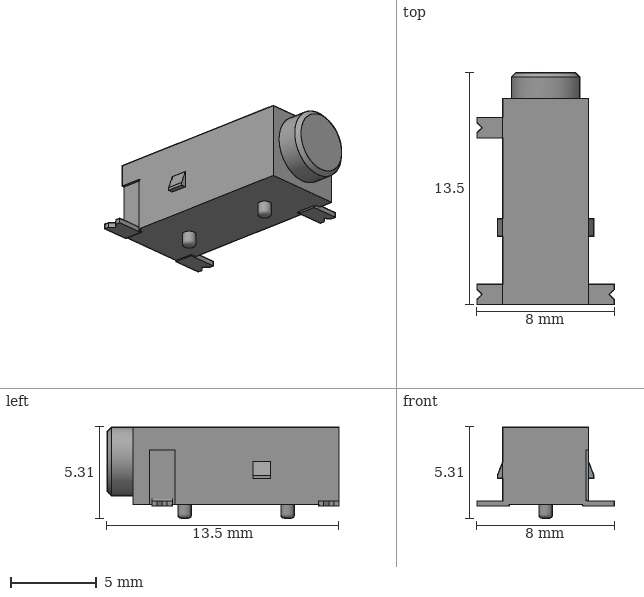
import cadquery as cq

total_length = 13.5
body_width = 5.0
body_length = 12.0
body_height = 4.51
half_width = body_width / 2

sleeve_diameter = 4.0
sleeve_length = total_length - body_length
sleeve_chamfer = 0.25
sleeve_axis_z = body_height - sleeve_diameter / 2

pin_diameter = 0.8
pin_length = 0.8
pin_round = 0.2
pin_positions_y = (3.0, 8.99)

lead_span = 8.0
lead_width = 1.2
lead_thickness = 0.3
lead_drop = 0.08
lead_inner_x = 2.1
lead_notch = 0.3
lead_bend = 0.11
lead_bottom_bevel = 0.08
sleeve_end_lead_y = 10.3
rear_lead_y = lead_width / 2
lead_top_z = lead_thickness - lead_drop

sleeve_end_recess_depth = 0.3
rear_recess_depth = 0.15
recess_width = 1.5
recess_height = 3.19

latch_width = 1.03
latch_reach = 0.31
latch_bottom_z = 1.53
latch_lip = 0.18
latch_height = 0.99
latch_y = 4.5


def side_profile(points, side, center_y, width):
    """Extrude an XZ outline along Y, with side -1 or 1 choosing the -X or +X wall."""
    outline = [(side * x, z) for x, z in points]
    return (
        cq.Workplane("XZ", origin=(0, center_y, 0))
        .polyline(outline)
        .close()
        .extrude(width / 2, both=True)
    )


def make_recess(side, center_y, depth):
    return (
        cq.Workplane("XY")
        .box(2 * depth, recess_width, recess_height, centered=(True, True, False))
        .translate((side * half_width, center_y, 0))
    )


def make_lead(side, center_y, bent):
    """Flat lead with a V notch in its tip; a bent lead has a bevelled inner bend."""
    tip_x = lead_span / 2
    inner_bevel = lead_bottom_bevel if bent else 0
    points = [
        (tip_x, -lead_drop),
        (tip_x, lead_top_z),
        (lead_inner_x, lead_top_z),
        (lead_inner_x, inner_bevel - lead_drop),
    ]
    if bent:
        points.append((lead_inner_x + inner_bevel, -lead_drop))
    lead = side_profile(points, side, center_y, lead_width)
    notch = (
        cq.Workplane("XY", origin=(0, center_y, -lead_drop))
        .polyline([
            (side * tip_x, -lead_notch),
            (side * (tip_x - lead_notch), 0),
            (side * tip_x, lead_notch),
        ])
        .close()
        .extrude(lead_thickness)
    )
    return lead.cut(notch)


def make_bend(side, center_y, depth):
    """Concave bend between the recess floor and the top of a lead."""
    wall_x = half_width - depth
    return (
        cq.Workplane("XZ", origin=(0, center_y, 0))
        .moveTo(side * wall_x, lead_top_z)
        .lineTo(side * (wall_x + lead_bend), lead_top_z)
        .radiusArc((side * wall_x, lead_top_z + lead_bend), side * lead_bend)
        .close()
        .extrude(lead_width / 2, both=True)
    )


def make_latch(side):
    points = [
        (half_width, latch_bottom_z),
        (half_width + latch_reach, latch_bottom_z),
        (half_width + latch_reach, latch_bottom_z + latch_lip),
        (half_width, latch_bottom_z + latch_height),
    ]
    return side_profile(points, side, latch_y, latch_width)


def make_sleeve():
    return (
        cq.Workplane("XZ", origin=(0, body_length, sleeve_axis_z))
        .circle(sleeve_diameter / 2)
        .extrude(-sleeve_length)
        .faces(">Y")
        .chamfer(sleeve_chamfer)
    )


def make_pin(center_y):
    return (
        cq.Workplane("XY", origin=(0, center_y, 0))
        .circle(pin_diameter / 2)
        .extrude(-pin_length)
        .faces("<Z")
        .edges()
        .fillet(pin_round)
    )


result = cq.Workplane("XY").box(
    body_width, body_length, body_height, centered=(True, False, False)
)

bent_leads = (
    (-1, sleeve_end_lead_y, sleeve_end_recess_depth),
    (1, rear_lead_y, rear_recess_depth),
)
for side, lead_y, depth in bent_leads:
    result = result.cut(make_recess(side, lead_y, depth))
    result = result.union(make_lead(side, lead_y, bent=True))
    result = result.union(make_bend(side, lead_y, depth))

result = result.union(make_lead(-1, rear_lead_y, bent=False))

for side in (-1, 1):
    result = result.union(make_latch(side))

for pin_y in pin_positions_y:
    result = result.union(make_pin(pin_y))

result = result.union(make_sleeve())